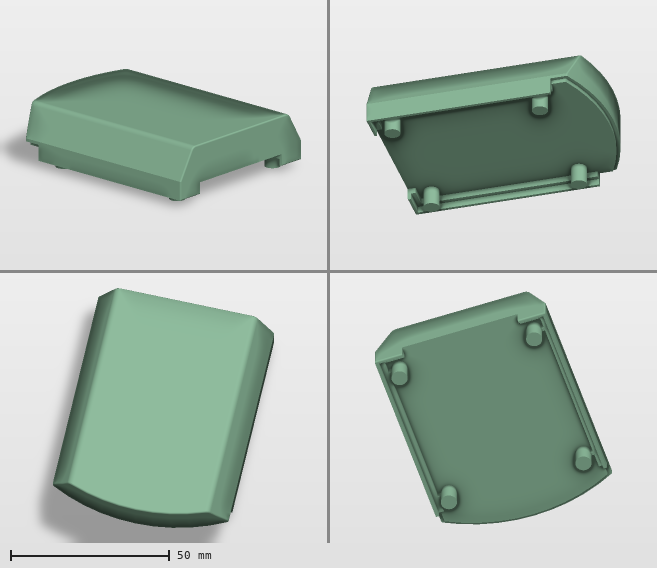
import cadquery as cq
import math

length = 72.92
width = 56.86
height = 16.6
overall_height = 18.8
half_width = width / 2

flank_height = 6.3
lean_angle = 30.0
shoulder_radius = 2.2
edge_radius = 0.5

bow_depth = 7.0
bow_radius = (half_width**2 + bow_depth**2) / (2 * bow_depth)

front_step_length = 12.5
front_bottom = 5.3
lip_inset = 1.3
lip_bottom = 4.0

wall = 2.6
rebate_wall = 1.05
rebate_depth = 2.1
end_opening_width = 38.5

peg_diameter = 5.1
peg_drop = overall_height - height
peg_positions_x = (17.6, 66.0)
peg_y = 22.4
web_thickness = 1.0

overshoot = 5.0


def box(x_min, x_max, y_min, y_max, z_min, z_max):
    """Axis-aligned box given by its limits."""
    size = (x_max - x_min, y_max - y_min, z_max - z_min)
    return cq.Workplane("XY").box(*size, centered=False).translate((x_min, y_min, z_min))


def bowed_plan(inset, z_min, z_max):
    """Plan shape with the bowed front, set in evenly from the front and both sides."""
    radius = bow_radius - inset
    side_y = half_width - inset
    corner_x = bow_radius - math.sqrt(radius**2 - side_y**2)
    return (
        cq.Workplane("XY", origin=(0, 0, z_min))
        .moveTo(length, -side_y)
        .lineTo(length, side_y)
        .lineTo(corner_x, side_y)
        .threePointArc((inset, 0), (corner_x, -side_y))
        .close()
        .extrude(z_max - z_min)
    )


def make_shell():
    """Outer form: shouldered section trimmed to the bowed plan, with softened ends."""
    top_half_width = half_width - (height - flank_height) * math.tan(math.radians(lean_angle))
    section = (
        cq.Workplane("YZ")
        .polyline([
            (-half_width, 0),
            (half_width, 0),
            (half_width, flank_height),
            (top_half_width, height),
            (-top_half_width, height),
            (-half_width, flank_height),
        ])
        .close()
        .extrude(length)
        .edges("|X and >Z")
        .fillet(shoulder_radius)
    )
    shell = section.intersect(bowed_plan(0, 0, height))
    shell = shell.faces(">X").edges().fillet(edge_radius)

    below_front = box(-overshoot, front_step_length, -width, width, -overshoot, front_bottom)
    shell = shell.cut(below_front)
    return shell.faces("<X").edges("not <Z").fillet(edge_radius)


def make_lip():
    """Inset lip under the raised front, reaching back to the step."""
    front_zone = box(0, front_step_length + wall, -width, width, lip_bottom, front_bottom)
    return bowed_plan(lip_inset, lip_bottom, front_bottom).intersect(front_zone)


def underside_recess():
    """Recess, rim rebate and end-wall opening, all open toward the front step."""
    inner_y = half_width - wall
    rebate_y = half_width - rebate_wall
    opening_y = end_opening_width / 2
    recess = box(0, length - wall, -inner_y, inner_y, -overshoot, lip_bottom)
    rebate = box(0, length - rebate_wall, -rebate_y, rebate_y, -overshoot, rebate_depth)
    opening = box(0, length + overshoot, -opening_y, opening_y, -overshoot, lip_bottom)
    return recess.union(rebate).union(opening)


def make_peg(x, side):
    """Round peg hanging from the recess ceiling and its web to the side wall."""
    peg = (
        cq.Workplane("XY", origin=(x, side * peg_y, -peg_drop))
        .circle(peg_diameter / 2)
        .extrude(peg_drop + front_bottom)
    )
    wall_y = half_width - wall / 2
    y_min, y_max = sorted((side * peg_y, side * wall_y))
    web = box(
        x - web_thickness / 2, x + web_thickness / 2,
        y_min, y_max,
        rebate_depth, front_bottom,
    )
    return peg.union(web)


result = make_shell().cut(underside_recess()).union(make_lip())
for peg_x in peg_positions_x:
    for peg_side in (-1, 1):
        result = result.union(make_peg(peg_x, peg_side))